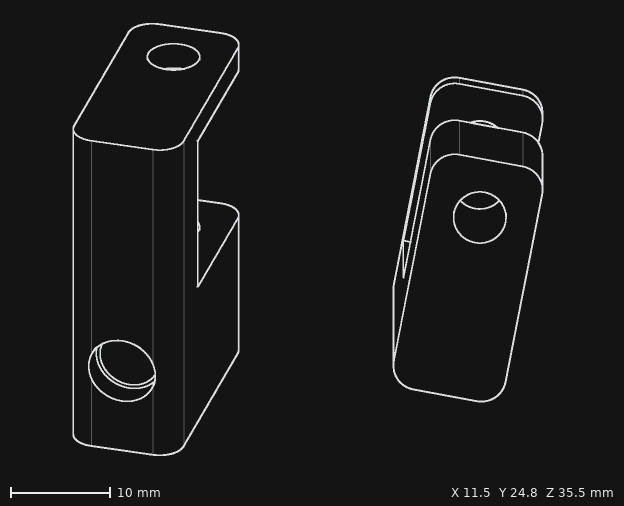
import cadquery as cq

width = 11.5
length = 24.75
height = 35.5
corner_radius = 2.5

arm_thickness = 2.85
opening_height = 16.95
opening_depth = 17.0

pin_diameter = 5.3
pin_from_back = 6.0

bore_height = 9.25
mouth_diameter = 7.0
mouth_depth = 2.75
bore_diameter = 6.2
bore_depth = 10.0

front_y = -length / 2
back_y = length / 2


def make_block():
    block = cq.Workplane("XY").box(width, length, height, centered=(True, True, False))
    return block.edges("|Z").fillet(corner_radius)


def make_opening():
    opening = cq.Workplane("XY").box(width, opening_depth, opening_height, centered=(True, False, False))
    opening_floor = height - arm_thickness - opening_height
    return opening.translate((0, back_y - opening_depth, opening_floor))


def make_pin_hole():
    return cq.Workplane("XY").center(0, back_y - pin_from_back).circle(pin_diameter / 2).extrude(height)


def make_front_bore(diameter, depth):
    """Cylinder running from the front face toward +Y."""
    face = cq.Workplane("XZ", origin=(0, front_y, bore_height))
    return face.circle(diameter / 2).extrude(-depth)


result = (
    make_block()
    .cut(make_opening())
    .cut(make_pin_hole())
    .cut(make_front_bore(mouth_diameter, mouth_depth))
    .cut(make_front_bore(bore_diameter, bore_depth))
)